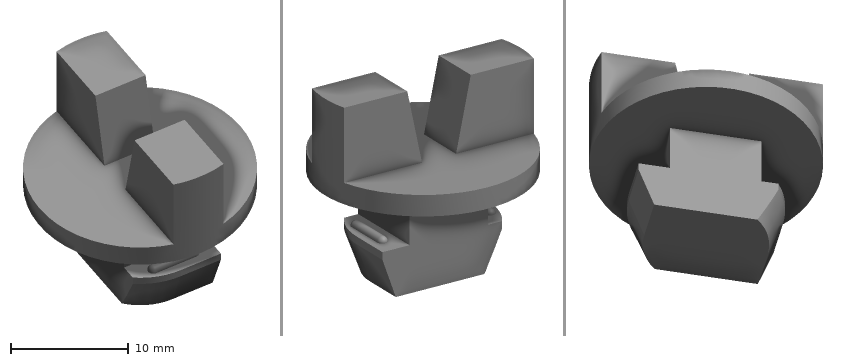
import cadquery as cq

flange_diameter = 20.0
flange_radius = flange_diameter / 2
flange_thickness = 2.0

lug_height = 7.0
lug_width = 5.0
lug_gap_half_bottom = 1.75
lug_gap_half_top = 3.25

stem_width = 8.0
stem_height = 4.6
foot_height = 4.5
foot_taper_height = 3.78
foot_radius_bottom = 5.4
foot_radius_top = 6.75

rib_radius = 0.5
rib_straight_length = 4.0
rib_offset = 5.5

flange_bottom = foot_height + stem_height
flange_top = flange_bottom + flange_thickness
total_height = flange_top + lug_height


def make_lugs():
    """Two lugs with sloped inner faces, rounded outside to the flange edge."""
    envelope = cq.Workplane("XY").circle(flange_radius).extrude(total_height)
    lugs = []
    for side in (-1, 1):
        lug = (
            cq.Workplane("XZ")
            .moveTo(side * lug_gap_half_bottom, flange_top)
            .lineTo(side * flange_radius, flange_top)
            .lineTo(side * flange_radius, total_height)
            .lineTo(side * lug_gap_half_top, total_height)
            .close()
            .extrude(lug_width / 2, both=True)
        )
        lugs.append(lug.intersect(envelope))
    return lugs[0].union(lugs[1])


def foot_half_profile():
    """Half of the foot outline in the XZ plane, from the Z axis outward."""
    return (
        cq.Workplane("XZ")
        .lineTo(foot_radius_bottom, 0)
        .lineTo(foot_radius_top, foot_taper_height)
        .lineTo(foot_radius_top, foot_height)
        .lineTo(0, foot_height)
        .close()
    )


def make_foot():
    """Tapered foot: two opposite quarters are conical, the other two are flat."""
    slab = cq.Workplane("XY").box(
        2 * foot_radius_top, stem_width, foot_height, centered=(True, True, False)
    )
    foot = foot_half_profile().revolve(360, (0, 0, 0), (0, 1, 0)).intersect(slab)
    flat_quarter = foot_half_profile().extrude(-stem_width / 2)
    for angle in (0, 180):
        foot = foot.union(flat_quarter.rotate((0, 0, 0), (0, 0, 1), angle))
    return foot


def make_rib(x):
    """Round-ended rod lying along Y, half sunk into the foot ledge."""
    half_length = rib_straight_length / 2
    rib = (
        cq.Workplane("XZ", origin=(x, 0, foot_height))
        .circle(rib_radius)
        .extrude(half_length, both=True)
    )
    for end in (-half_length, half_length):
        rib = rib.union(cq.Workplane("XY").sphere(rib_radius).translate((x, end, foot_height)))
    return rib


flange = (
    cq.Workplane("XY", origin=(0, 0, flange_bottom))
    .circle(flange_radius)
    .extrude(flange_thickness)
)
stem = (
    cq.Workplane("XY", origin=(0, 0, foot_height))
    .rect(stem_width, stem_width)
    .extrude(stem_height)
)

result = make_foot().union(stem).union(flange).union(make_lugs())
for rib_x in (-rib_offset, rib_offset):
    result = result.union(make_rib(rib_x))